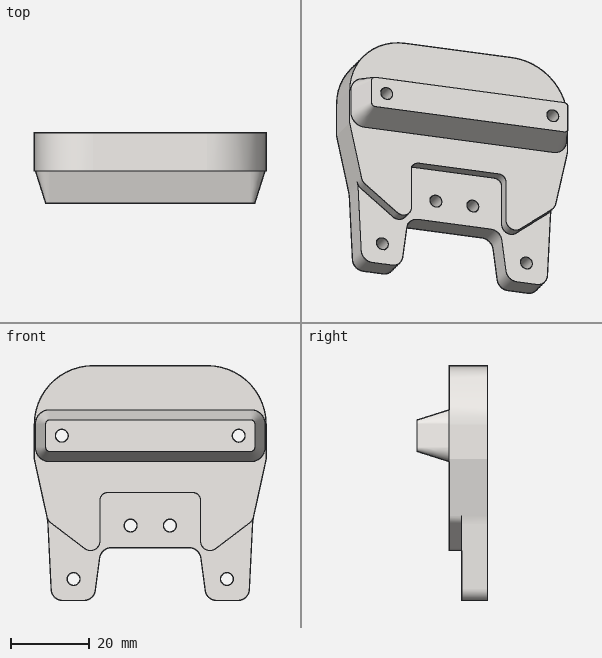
import cadquery as cq

width = 59.04
height = 59.8
half_width = width / 2
top_corner_radius = 15.0

leg_depth = 6.6
plate_depth = 9.8
total_depth = 18.0

shoulder_z = 36.0
hip_half_width = 26.1
hip_z = 20.4
hip_blend_radius = 12.0

leg_outer_foot_x = 25.1
leg_inner_foot_x = 14.3
leg_inner_top_x = 12.5
web_bottom_z = 13.45
leg_fillet_radius = 3.0

recess_half_width = 12.8
recess_top_z = 27.5
recess_corner_radius = 2.0
pad_tip_z = 10.3
pad_tip_radius = 2.4
pad_hip_radius = 3.0

bar_z = 41.95
bar_face_length = 53.2
bar_face_height = 8.0
bar_face_corner_radius = 1.0
bar_flare = 2.6

hole_diameter = 3.2
bar_hole_x = 22.5
web_hole_x = 5.0
web_hole_z = 19.1
leg_hole_x = 19.5
leg_hole_z = 5.5


def front_plane(depth):
    """Sketch plane facing -Y, at the given depth in front of the back face."""
    return cq.Workplane("XZ", origin=(0, -depth, 0))


def mirrored(half_outline):
    """Close a right-hand outline by adding its mirror image in X."""
    return half_outline + [(-x, z) for x, z in reversed(half_outline)]


def extrude_outline(half_outline, start_depth, end_depth):
    """Prism with a symmetric outline, between two depths."""
    sketch = front_plane(start_depth).polyline(mirrored(half_outline)).close()
    return sketch.extrude(end_depth - start_depth)


def round_edges(body, radius, points):
    """Fillet the Y-parallel edges at the given (x, z) points and their mirror images."""
    tolerance = 0.01

    def is_chosen(edge):
        center = edge.Center()
        return any(
            abs(abs(center.x) - x) < tolerance and abs(center.z - z) < tolerance
            for x, z in points
        )

    edges = [edge for edge in body.edges("|Y").vals() if is_chosen(edge)]
    return body.newObject(edges).fillet(radius)


top_corner = (half_width, height)
shoulder = (half_width, shoulder_z)
hip = (hip_half_width, hip_z)
outer_foot = (leg_outer_foot_x, 0)
inner_foot = (leg_inner_foot_x, 0)
web_corner = (leg_inner_top_x, web_bottom_z)
pad_tip = (recess_half_width, pad_tip_z)
recess_corner = (recess_half_width, recess_top_z)


def make_back_plate():
    """Full-height layer with the two legs."""
    outline = [top_corner, shoulder, hip, outer_foot, inner_foot, web_corner]
    plate = extrude_outline(outline, 0, leg_depth)
    plate = round_edges(plate, top_corner_radius, [top_corner])
    plate = round_edges(plate, hip_blend_radius, [hip])
    return round_edges(plate, leg_fillet_radius, [outer_foot, inner_foot, web_corner])


def make_front_pad():
    """Raised layer above the legs, with the central recess open at the bottom."""
    outline = [top_corner, shoulder, hip, pad_tip, recess_corner]
    pad = extrude_outline(outline, leg_depth, plate_depth)
    pad = round_edges(pad, top_corner_radius, [top_corner])
    pad = round_edges(pad, pad_hip_radius, [hip])
    pad = round_edges(pad, pad_tip_radius, [pad_tip])
    return round_edges(pad, recess_corner_radius, [recess_corner])


def bar_section(flare):
    """Rounded rectangle of the bar, grown by the flare on every side."""
    section = cq.Sketch().rect(bar_face_length + 2 * flare, bar_face_height + 2 * flare)
    return section.vertices().fillet(bar_face_corner_radius + flare)


def make_bar():
    """Bar that narrows towards its front face, with conical corners."""
    base = bar_section(bar_flare)
    face = bar_section(0).moved(cq.Location(cq.Vector(0, 0, total_depth - plate_depth)))
    return front_plane(plate_depth).center(0, bar_z).placeSketch(base, face).loft()


def make_holes():
    """Cutters for the three mirrored pairs of through holes."""
    pairs = [(bar_hole_x, bar_z), (web_hole_x, web_hole_z), (leg_hole_x, leg_hole_z)]
    centers = pairs + [(-x, z) for x, z in pairs]
    return front_plane(0).pushPoints(centers).circle(hole_diameter / 2).extrude(total_depth)


result = make_back_plate().union(make_front_pad()).union(make_bar()).cut(make_holes())